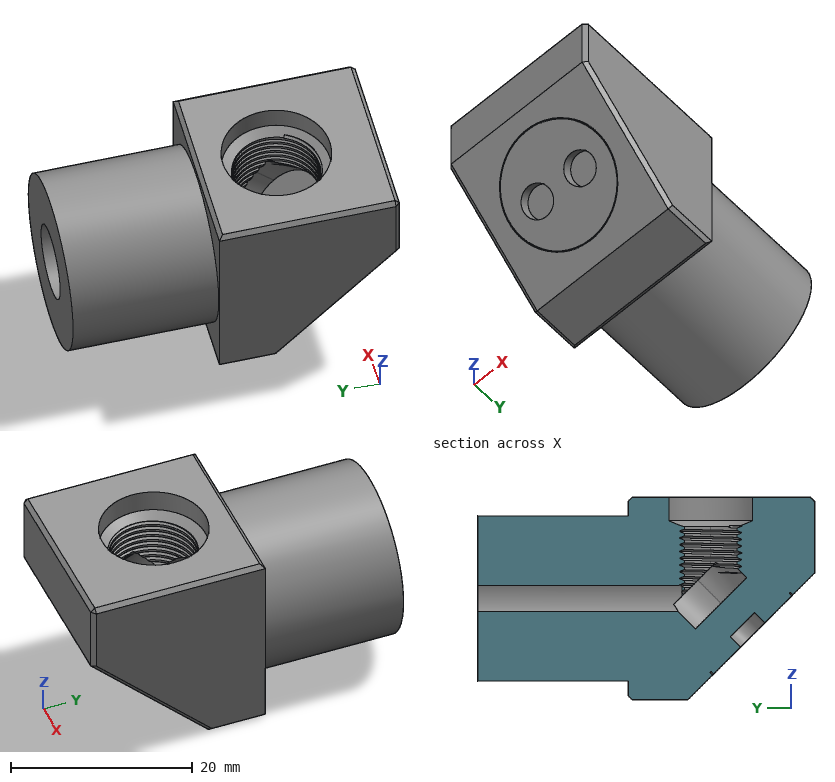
import cadquery as cq
import math


block_width = 20.57
block_length = 20.57
block_height = 22.35
slope_setback = 14.0
edge_chamfer = 0.5
barrel_diameter = 19.98
barrel_length = 37.13 - block_length
beam_bore_diameter = 8.5
beam_bore_depth = barrel_length + 5.95

port_y = -9.1
port_counterbore_diameter = 12.18
port_counterbore_depth = 2.6
port_cone_angle = 120
thread_major_diameter = 10.55
thread_minor_diameter = 9.88
thread_pitch = 0.75
thread_crest = 0.15
thread_turns = 10
thread_runout = 0.1
thread_end_angle = -24

plug_offset = 0.22
plug_stem_diameter = 11.3
plug_stem_length = 4.95
plug_bore_depth = 8.55
plug_rim_diameter = 14.85
plug_rim_gap = 0.1
plug_rim_gap_depth = 0.37
pin_hole_diameter = 4.1
pin_hole_depth = 1.6
pin_hole_spacing = 6.4

top_z = block_height / 2
bottom_z = -top_z
front_y = -block_length
cone_top_z = top_z - port_counterbore_depth
cone_height = (
    (port_counterbore_diameter - thread_minor_diameter) / 2 / math.tan(math.radians(port_cone_angle / 2))
)
cone_bottom_z = cone_top_z - cone_height

half_setback = slope_setback / 2
rise = plug_offset * math.sin(math.radians(45))
slope_plane = cq.Plane(
    origin=(0, front_y + half_setback - rise, bottom_z + half_setback + rise),
    xDir=(1, 0, 0),
    normal=(0, -1, -1),
)


def make_block():
    profile = [
        (0, bottom_z),
        (0, top_z),
        (front_y, top_z),
        (front_y, bottom_z + slope_setback),
        (front_y + slope_setback, bottom_z),
    ]
    block = cq.Workplane("YZ").polyline(profile).close().extrude(block_width / 2, both=True)
    side_edges = block.faces("<X or >X").edges("not >Y")
    top_edges = block.faces(">Z").edges("|X")
    rear_bottom_edge = block.faces("<Z").edges(">Y")
    return side_edges.add(top_edges).add(rear_bottom_edge).chamfer(edge_chamfer)


def make_barrel():
    return cq.Workplane("XZ").circle(barrel_diameter / 2).extrude(-barrel_length)


def make_beam_bore():
    barrel_end = cq.Workplane("XZ", origin=(0, barrel_length, 0))
    return barrel_end.circle(beam_bore_diameter / 2).extrude(beam_bore_depth)


def make_port():
    """Counterbore, cone and thread-core hole reaching down to the beam axis."""
    counterbore_radius = port_counterbore_diameter / 2
    core_radius = thread_minor_diameter / 2
    half_section = [
        (0, 0),
        (core_radius, 0),
        (core_radius, cone_bottom_z),
        (counterbore_radius, cone_top_z),
        (counterbore_radius, top_z),
        (0, top_z),
    ]
    section_plane = cq.Workplane("XZ", origin=(0, port_y, 0))
    return section_plane.polyline(half_section).close().revolve(360, (0, 0), (0, 1))


def make_thread_groove():
    """Helical V groove between the minor and major thread diameters."""
    overlap = 0.1
    root_radius = thread_major_diameter / 2
    mouth_radius = thread_minor_diameter / 2 - overlap
    half_mouth = (thread_pitch - thread_crest) / 2
    helix_height = thread_turns * thread_pitch
    helix = cq.Wire.makeHelix(thread_pitch, helix_height, mouth_radius)
    groove = (
        cq.Workplane("XZ")
        .moveTo(mouth_radius, -half_mouth)
        .lineTo(root_radius, 0)
        .lineTo(mouth_radius, half_mouth)
        .close()
        .sweep(cq.Workplane(helix), isFrenet=True)
    )
    groove = groove.rotate((0, 0, 0), (0, 0, 1), thread_end_angle)
    return groove.translate((0, port_y, cone_bottom_z + thread_runout - helix_height))


def make_plug_bore():
    return cq.Workplane(slope_plane).circle(plug_stem_diameter / 2).extrude(-plug_bore_depth)


def make_plug():
    """Plug stem; its flat inner end is the mirror."""
    return cq.Workplane(slope_plane).circle(plug_stem_diameter / 2).extrude(-plug_stem_length)


def make_rim_gap():
    outer_radius = plug_rim_diameter / 2
    ring = cq.Workplane(slope_plane).circle(outer_radius).circle(outer_radius - plug_rim_gap)
    return ring.extrude(-plug_rim_gap_depth)


def make_pin_holes():
    centres = [(-pin_hole_spacing / 2, 0), (pin_hole_spacing / 2, 0)]
    holes = cq.Workplane(slope_plane).pushPoints(centres).circle(pin_hole_diameter / 2)
    return holes.extrude(-pin_hole_depth)


result = make_block().union(make_barrel())
result = result.cut(make_beam_bore()).cut(make_port()).cut(make_thread_groove()).cut(make_plug_bore())
result = result.union(make_plug()).cut(make_rim_gap()).cut(make_pin_holes())